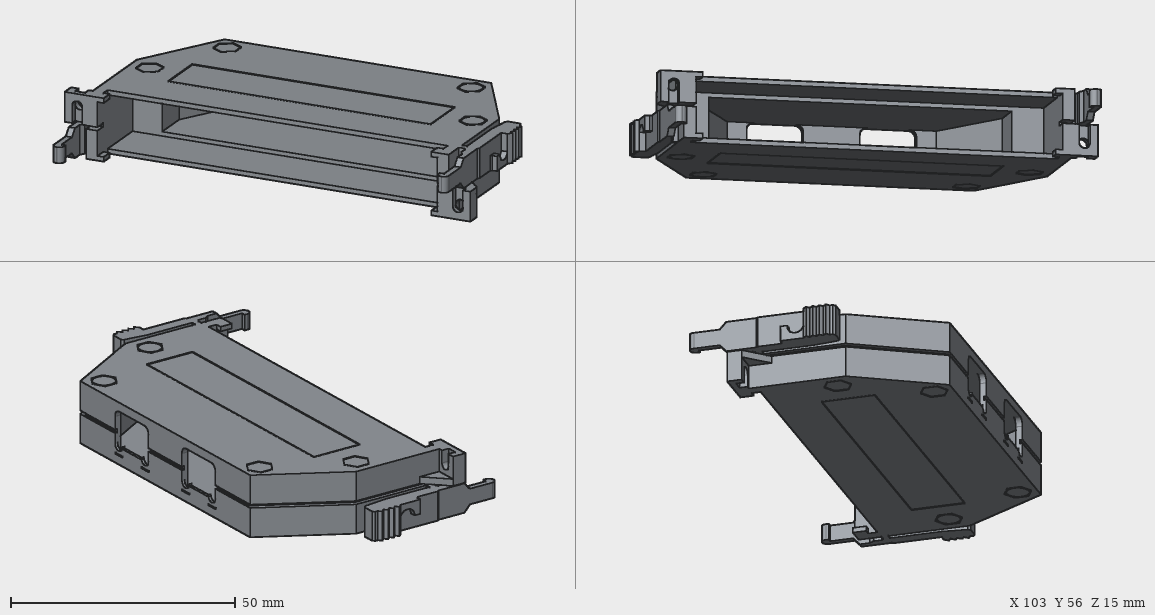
import cadquery as cq
import math


half_height = 7.5
joint_z = 0.4
body_half_width = 44.8
body_depth = 46.5
corner_y = 26.0
back_half_width = 32.9
plate_front_y = 5.2
tongue_inset = 1.1
tongue_back_inset = 0.6
tongue_corner_y = 25.6
tongue_front_y = 3.1

mouth_half_width = 42.0
mouth_half_height = 6.4
mouth_depth = 18.0
cavity_half_width = 34.7
cavity_half_height = 5.4
cavity_corner_y = 26.8
cavity_back_half_width = 24.0
back_wall = 1.5

lip_inner_x = 40.4
lip_depth = 3.1
tab_outer_x = 50.1
tab_depth = 3.4
gusset_back_y = 8.7
gusset_top_z = 2.1
tab_slot_x = 47.0
tab_slot_z = 4.5
tab_slot_width = 2.5
tab_slot_step_y = 1.5

latch_tip_y = -9.5
latch_outer_x = 48.8
latch_middle_x = 49.1
latch_block_x = 50.6
latch_inner_x = 46.0
latch_end_inner_x = 46.7
latch_pocket_inner_x = 46.5
latch_pocket_front_y = 2.9
latch_pocket_corner = 0.4
latch_neck_inner_x = 47.2
latch_neck_back_y = 1.7
latch_outer_step = 0.5
latch_end_y = 25.4
latch_end_corner = 0.5
latch_taper_y = 19.0
tooth_tip_x = 51.5
tooth_pitch = 1.5
tooth_tip_offset = 0.9
tooth_count = 4
teeth_end_y = 18.0
block_end_y = 12.7
block_root_chamfer = 0.4
block_thickness = 3.5
block_arch_y = 16.2
block_arch_radius = 2.0
bridge_back_y = 6.9
arm_height = 3.8
arm_start_y = -2.2
arm_taper_y = -0.6
hook_y = -7.5
hook_inner_x = 46.2
hook_rounding = 1.2

screw_places = [(30.1, 42.0), (39.9, 22.6)]
hex_across_flats = 5.5
screw_head_diameter = 5.4
recess_depth = 0.2
label_half_width = 32.4
label_front_y = 16.4
label_back_y = 28.8

window_x = 13.0
window_width = 13.0
window_corner = 1.6
membrane_bottom_z = -5.0
membrane_top_z = -4.2
membrane_thickness = 0.7
breakout_width = 7.4
breakout_top_z = -3.3


def box(x0, x1, y0, y1, z0, z1):
    """Box between two opposite corners."""
    return cq.Workplane("XY").box(x1 - x0, y1 - y0, z1 - z0, centered=False).translate((x0, y0, z0))


def prism(points, z0, z1):
    """Closed XY outline extruded from z0 to z1."""
    return cq.Workplane("XY").workplane(offset=z0).polyline(points).close().extrude(z1 - z0)


def hood_outline(half_width, front_y, bend_y, back_half, back_y):
    """Symmetric outline with straight sides that slant towards the back."""
    right_side = [(half_width, front_y), (half_width, bend_y), (back_half, back_y)]
    left_side = [(-x, y) for x, y in reversed(right_side)]
    return right_side + left_side


def turned(shape):
    """Copy of an upper-half shape for the lower half."""
    return shape.rotate((0, 0, 0), (0, 1, 0), 180)


def shell_half():
    body = prism(
        hood_outline(body_half_width, 0, corner_y, back_half_width, body_depth), joint_z, half_height
    )
    body = body.cut(
        box(-mouth_half_width, mouth_half_width, 0, plate_front_y, mouth_half_height, half_height)
    )
    for side in (-1, 1):
        x0, x1 = sorted((side * lip_inner_x, side * body_half_width))
        body = body.union(box(x0, x1, 0, lip_depth, mouth_half_height, half_height))
    return body


def tab():
    """Ear on the -X side with its gusset and its stepped slot."""
    ear = box(-tab_outer_x, -body_half_width, 0, tab_depth, joint_z, half_height)
    gusset = prism(
        [(-tab_outer_x, tab_depth), (-body_half_width, tab_depth), (-body_half_width, gusset_back_y)],
        joint_z,
        gusset_top_z,
    )
    radius = tab_slot_width / 2
    left = -tab_slot_x - radius
    right = -tab_slot_x + radius
    hole = (
        cq.Workplane("XZ")
        .center(-tab_slot_x, tab_slot_z)
        .circle(radius)
        .extrude(-tab_depth)
    )
    inward = box(left, right, 0, tab_slot_step_y, joint_z, tab_slot_z)
    outward = box(left, right, tab_slot_step_y, tab_depth, tab_slot_z, half_height)
    return ear.cut(hole).cut(inward).cut(outward).union(gusset)


def latch_outline():
    """Outline of the latch seen along Z, from the hook round the outside and back."""
    points = [
        (latch_neck_inner_x, hook_y),
        (hook_inner_x, hook_y),
        (hook_inner_x, latch_tip_y),
        (latch_outer_x, latch_tip_y),
        (latch_outer_x, bridge_back_y - latch_outer_step),
        (latch_middle_x, bridge_back_y),
        (latch_middle_x, block_end_y - block_root_chamfer),
        (latch_middle_x + block_root_chamfer, block_end_y),
        (latch_block_x, block_end_y),
    ]
    for tooth in range(tooth_count):
        start_y = teeth_end_y + tooth * tooth_pitch
        points.append((latch_block_x, start_y))
        points.append((tooth_tip_x, start_y + tooth_tip_offset))
    points += [
        (latch_block_x, teeth_end_y + tooth_count * tooth_pitch),
        (latch_block_x, latch_end_y - latch_end_corner),
        (latch_block_x - latch_end_corner, latch_end_y),
        (latch_end_inner_x + latch_end_corner, latch_end_y),
        (latch_end_inner_x, latch_end_y - latch_end_corner),
        (latch_inner_x, latch_taper_y),
        (latch_inner_x, plate_front_y),
        (latch_pocket_inner_x - latch_pocket_corner, plate_front_y),
        (latch_pocket_inner_x, plate_front_y - latch_pocket_corner),
        (latch_pocket_inner_x, latch_pocket_front_y),
        (latch_neck_inner_x, latch_neck_back_y),
    ]
    return points


def latch():
    """Latch on the +X side with its bridge to the body."""
    lever = prism(latch_outline(), joint_z, half_height)
    lever = lever.edges("|Z and <Y").fillet(hook_rounding)

    middle_z = (joint_z + half_height) / 2
    side_profile = [
        (latch_end_y, joint_z),
        (latch_end_y, half_height),
        (arm_taper_y, half_height),
        (arm_start_y, middle_z + arm_height / 2),
        (latch_tip_y, middle_z + arm_height / 2),
        (latch_tip_y, middle_z - arm_height / 2),
        (arm_start_y, middle_z - arm_height / 2),
        (arm_taper_y, joint_z),
    ]
    lever = lever.intersect(cq.Workplane("YZ").polyline(side_profile).close().extrude(tooth_tip_x))

    block_top_z = joint_z + block_thickness
    root_y = block_end_y - block_root_chamfer
    cut_back = box(latch_middle_x, tooth_tip_x, root_y, teeth_end_y, block_top_z, half_height)
    arch = (
        cq.Workplane("YZ")
        .workplane(offset=latch_middle_x)
        .center(block_arch_y, block_top_z)
        .circle(block_arch_radius)
        .extrude(tooth_tip_x - latch_middle_x)
        .intersect(box(latch_middle_x, tooth_tip_x, block_end_y, teeth_end_y, joint_z, half_height))
    )
    bridge = box(body_half_width, latch_inner_x, plate_front_y, bridge_back_y, joint_z, half_height)
    return lever.cut(cut_back).cut(arch).union(bridge)


def top_recesses():
    """Label field, nut recesses at -X and screw-head recesses at +X."""
    floor_z = half_height - recess_depth
    recesses = box(
        -label_half_width, label_half_width, label_front_y, label_back_y, floor_z, half_height
    )
    hex_diameter = hex_across_flats / math.cos(math.pi / 6)
    for x, y in screw_places:
        for side in (-1, 1):
            pocket = (
                cq.Workplane("XY")
                .polygon(6, hex_diameter)
                .extrude(recess_depth)
                .rotate((0, 0, 0), (0, 0, 1), 90)
            )
            if side > 0:
                pocket = pocket.cut(
                    cq.Workplane("XY").circle(screw_head_diameter / 2).extrude(recess_depth)
                )
            recesses = recesses.union(pocket.translate((side * x, y, floor_z)))
    return recesses


def cavity():
    mouth = box(
        -mouth_half_width, mouth_half_width, 0, mouth_depth, -mouth_half_height, mouth_half_height
    )
    chamber = prism(
        hood_outline(
            cavity_half_width, mouth_depth, cavity_corner_y, cavity_back_half_width, body_depth - back_wall
        ),
        -cavity_half_height,
        cavity_half_height,
    )
    return mouth.union(chamber)


def window(x):
    """Opening through the back wall, rounded at the top."""
    opening = box(
        x - window_width / 2,
        x + window_width / 2,
        body_depth - back_wall,
        body_depth,
        -cavity_half_height,
        cavity_half_height,
    )
    return opening.edges("|Y and >Z").fillet(window_corner)


def membrane(x):
    """Thin strip across the bottom of a window, with a raised break-out tab and scoops beside it."""
    front_y = body_depth - membrane_thickness
    half = window_width / 2
    half_tab = breakout_width / 2
    scoop_radius = (half - half_tab) / 2
    scoop_z = membrane_top_z + scoop_radius
    strip = box(x - half, x + half, front_y, body_depth, membrane_bottom_z, scoop_z)
    strip = strip.cut(box(x - half_tab, x + half_tab, front_y, body_depth, breakout_top_z, scoop_z))
    for side in (-1, 1):
        scoop = (
            cq.Workplane("XZ", origin=(x + side * (half_tab + scoop_radius), front_y, scoop_z))
            .circle(scoop_radius)
            .extrude(-membrane_thickness)
        )
        strip = strip.cut(scoop)
    foot = box(
        x - half_tab, x + half_tab, front_y, body_depth, -cavity_half_height, membrane_bottom_z
    )
    return strip.union(foot)


upper_half = shell_half().union(tab()).union(latch()).cut(top_recesses())
tongue = prism(
    hood_outline(
        body_half_width - tongue_inset,
        tongue_front_y,
        tongue_corner_y,
        back_half_width - tongue_inset,
        body_depth - tongue_back_inset,
    ),
    -joint_z,
    joint_z,
)
result = upper_half.union(turned(upper_half)).union(tongue).cut(cavity())
for side in (-1, 1):
    result = result.cut(window(side * window_x)).union(membrane(side * window_x))